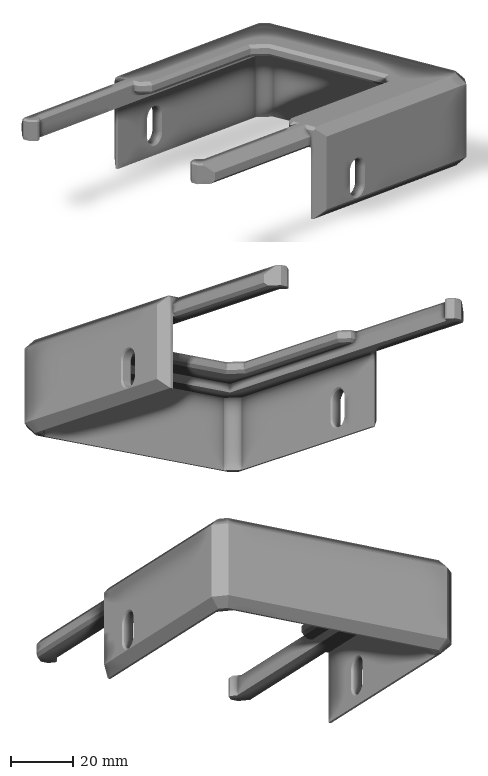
import cadquery as cq

length = 130.0
width = 88.5
height = 31.0

body_front = -12.6
wall = 4.0
outer_chamfer = 3.1
corner_chamfer = 4.0

lip_thickness = 4.0
opening_half_width = 28.5
opening_back = 44.2
lip_front_chamfer = 3.1
edge_chamfer = 1.0

rib_height = 6.9
rib_width = 6.6
hook_reach = 1.7
hook_flat = 0.9
hook_front_chamfer = 1.8
tip_flat = 2.6
tip_edge_chamfer = 0.5

slot_y = 6.0
slot_z = 10.0
slot_height = 12.5
slot_width = 6.5
slot_chamfer = 0.5

half_width = width / 2
back = length / 2
tip_front = -length / 2
cavity_half_width = half_width - wall
cavity_back = back - wall
rib_inner = cavity_half_width - rib_width
rib_back = cavity_back - rib_width
rib_bottom = height - rib_height
lip_bottom = height - lip_thickness

tolerance = 0.06


def block(half_x, front, rear, bottom, top):
    """Box centred on X between the given Y and Z limits."""
    box = cq.Workplane("XY").box(2 * half_x, rear - front, top - bottom)
    return box.translate((0, (front + rear) / 2, (bottom + top) / 2))


def outer_block():
    """Solid housing block with its outer edges bevelled; the front face edges stay sharp."""
    body = block(half_width, body_front, back, 0, height)
    body = body.edges("|Z and >Y").chamfer(corner_chamfer)
    body = body.faces("<Z or >Z").edges("not <Y").chamfer(outer_chamfer)
    return body.faces("<Y").edges("<X or >X").chamfer(outer_chamfer)


def cavity():
    """Space between the walls, below the rib."""
    space = block(cavity_half_width, body_front, cavity_back, 0, rib_bottom)
    return space.edges("|Z and >Y").chamfer(corner_chamfer)


def rib_space():
    """Space inside the rib, below the lip."""
    return block(rib_inner, body_front, rib_back, rib_bottom, lip_bottom)


def roof_opening():
    """Opening through the lip, with cut back corners and a widened mouth at the front."""
    opening = block(opening_half_width, body_front, opening_back, lip_bottom, height)
    opening = opening.edges("|Z and >Y").chamfer(corner_chamfer)
    mouth = (
        cq.Workplane("XY", origin=(0, 0, lip_bottom))
        .moveTo(-opening_half_width - lip_front_chamfer, body_front)
        .lineTo(opening_half_width + lip_front_chamfer, body_front)
        .lineTo(opening_half_width, body_front + lip_front_chamfer)
        .lineTo(-opening_half_width, body_front + lip_front_chamfer)
        .close()
        .extrude(lip_thickness)
    )
    return opening.union(mouth)


def edges_near(level, half_x):
    """Selector for edges at one height, within half_x of the middle and no further back than the opening."""
    return cq.selectors.BoxSelector(
        (-half_x, body_front - tolerance, level - tolerance),
        (half_x, opening_back + tolerance, level + tolerance),
    )


def housing():
    """Hollowed housing with the lip edges bevelled above and below."""
    body = outer_block().cut(cavity()).cut(rib_space()).cut(roof_opening())
    body = body.edges(edges_near(height, half_width - outer_chamfer - tolerance)).chamfer(edge_chamfer)
    return body.edges(edges_near(lip_bottom, rib_inner - tolerance)).chamfer(edge_chamfer)


def arm():
    """Clip arm on the +X side, rooted in the rib."""
    root = body_front + lip_front_chamfer
    tip_outer = rib_inner - hook_reach + hook_front_chamfer + tip_flat
    tip_chamfer = cavity_half_width - tip_outer
    hook_front = tip_front + hook_front_chamfer
    hook_rear = hook_front + hook_flat
    outline = [
        (cavity_half_width, root),
        (cavity_half_width, tip_front + tip_chamfer),
        (tip_outer, tip_front),
        (tip_outer - tip_flat, tip_front),
        (rib_inner - hook_reach, hook_front),
        (rib_inner - hook_reach, hook_rear),
        (rib_inner, hook_rear + hook_reach),
        (rib_inner, root),
    ]
    bar = cq.Workplane("XY", origin=(0, 0, rib_bottom)).polyline(outline).close().extrude(rib_height)
    middle = (root + tip_front) / 2

    def edge_at(x, y, z):
        return cq.selectors.NearestToPointSelector((x, y, z))

    bar = bar.edges(edge_at(cavity_half_width, middle, height)).chamfer(outer_chamfer)
    bar = bar.edges(edge_at(cavity_half_width, middle, rib_bottom)).chamfer(edge_chamfer)
    bar = bar.edges(edge_at(rib_inner, middle, height)).chamfer(edge_chamfer)
    tip_edges = cq.selectors.BoxSelector(
        (rib_inner - hook_reach - tolerance, tip_front - tolerance, height - tolerance),
        (cavity_half_width - outer_chamfer, hook_rear - tolerance, height + tolerance),
    )
    return bar.edges(tip_edges).chamfer(tip_edge_chamfer)


def slot_section(x, margin):
    """Upright slot outline on the plane at x, grown all round by margin."""
    plane = cq.Workplane("YZ", origin=(x, slot_y, slot_z))
    return plane.slot2D(slot_height + 2 * margin, slot_width + 2 * margin, 90)


def slot():
    """Cutter for the slot in the +X wall, flared at the outer and inner faces."""
    through = slot_section(cavity_half_width, 0).extrude(wall)
    outer_flare = slot_section(half_width, slot_chamfer).extrude(-slot_chamfer, taper=45)
    inner_flare = slot_section(cavity_half_width, slot_chamfer).extrude(slot_chamfer, taper=45)
    return through.union(outer_flare).union(inner_flare)


clip_arm = arm()
wall_slot = slot()
result = housing().union(clip_arm).union(clip_arm.mirror("YZ"))
result = result.cut(wall_slot).cut(wall_slot.mirror("YZ"))